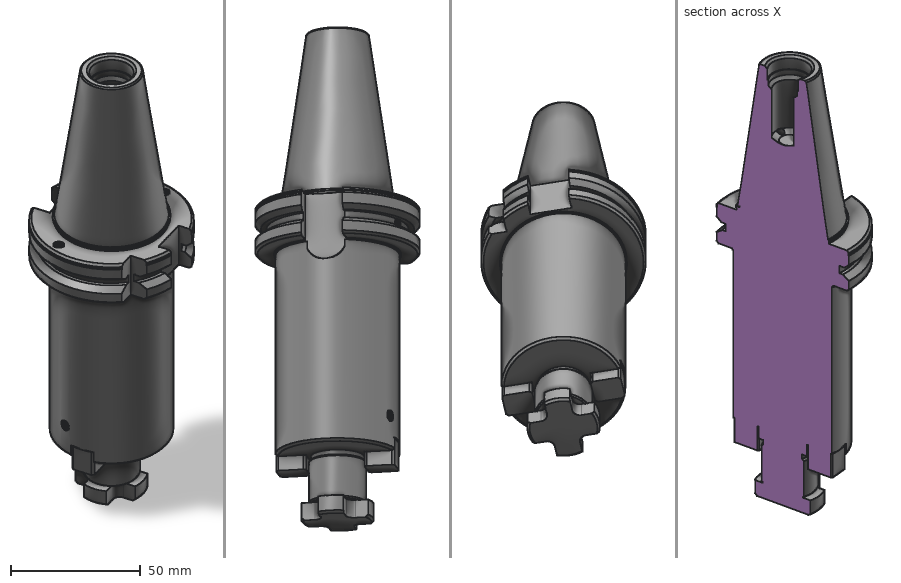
import cadquery as cq
import math

top_z = 68.5
bottom_z = -126.0
body_end_z = -100.0
spigot_end_z = -119.0

gauge_radius = 22.2
taper_foot_z = 1.0
neck_radius = 22.7
neck_height = 0.8
undercut_radius = 22.4
taper_slope = 7 / 24 / 2
taper_tip_chamfer = 0.5

flange_diameter = 63.5
flange_radius = flange_diameter / 2
flange_top_z = -0.8
flange_bottom_z = -19.0
flange_chamfer = 1.0
scribe_top_z = -2.1
scribe_height = 0.8
scribe_depth = 0.2
groove_radius = 27.5
groove_top_z = -9.1
groove_bottom_z = -12.2
upper_lip_radius = 29.5
lower_lip_radius = 29.0
flank_height = 2.0

body_radius = 24.0
body_chamfer = 1.0
collar_radius = 24.5
collar_height = 0.5

spigot_radius = 11.0
spigot_chamfer = 0.5
relief_radius = 10.3
relief_height = 1.7
head_radius = 14.0
head_chamfer = 1.0
lobe_width = 10.0
lobe_fillet = 3.0

slot_width = 16.1
left_slot_floor = 22.7
right_slot_floor = 25.0
notch_offset = 18.7
key_width = 10.0
key_recess = 0.5
key_outer = body_radius - key_recess
key_inner = 11.5
key_top_z = -94.7
key_bottom_z = -105.5
key_chamfer = 1.0

bore_mouth_radius = 9.5
bore_radius = 8.5
bore_depth = 5.8
pilot_radius = 8.2
pilot_depth = 8.2
thread_radius = 6.8
thread_depth = 31.1
bore_floor_radius = 4.0
bore_floor_rise = 1.5

coolant_angle = 20
coolant_circle_radius = 27.0
bore_coolant_circle_radius = 5.8
bore_coolant_radius = 1.4
bore_coolant_depth = 3.9
plug_hole_radius = 2.1
plug_hole_depth = 0.5
plug_rim_radius = 1.5
plug_rim_depth = 1.0
plug_socket_width = 2.0
plug_socket_depth = 1.4
body_plug_z = -86.9


def revolved(points):
    """Solid of revolution about Z from a closed outline of (radius, height) points."""
    return cq.Workplane("XZ").polyline(points).close().revolve(360, (0, 0), (0, 1))


def turned_body():
    taper_tip_radius = gauge_radius - top_z * taper_slope
    scribe_radius = flange_radius - scribe_depth
    return revolved([
        (0, top_z),
        (taper_tip_radius - taper_tip_chamfer, top_z),
        (taper_tip_radius, top_z - taper_tip_chamfer),
        (gauge_radius - taper_foot_z * taper_slope, taper_foot_z),
        (neck_radius, taper_foot_z),
        (neck_radius, taper_foot_z - neck_height),
        (undercut_radius, taper_foot_z - neck_height),
        (undercut_radius, flange_top_z),
        (flange_radius - flange_chamfer, flange_top_z),
        (flange_radius, flange_top_z - flange_chamfer),
        (flange_radius, scribe_top_z),
        (scribe_radius, scribe_top_z),
        (scribe_radius, scribe_top_z - scribe_height),
        (flange_radius, scribe_top_z - scribe_height),
        (flange_radius, groove_top_z + flank_height),
        (upper_lip_radius, groove_top_z),
        (groove_radius, groove_top_z),
        (groove_radius, groove_bottom_z),
        (lower_lip_radius, groove_bottom_z),
        (flange_radius, groove_bottom_z - flank_height),
        (flange_radius, flange_bottom_z + flange_chamfer),
        (flange_radius - flange_chamfer, flange_bottom_z),
        (collar_radius, flange_bottom_z),
        (collar_radius, flange_bottom_z - collar_height),
        (body_radius, flange_bottom_z - collar_height),
        (body_radius, body_end_z + body_chamfer),
        (body_radius - body_chamfer, body_end_z),
        (relief_radius, body_end_z),
        (relief_radius, body_end_z - relief_height),
        (spigot_radius, body_end_z - relief_height - (spigot_radius - relief_radius)),
        (spigot_radius, spigot_end_z + spigot_chamfer),
        (spigot_radius - spigot_chamfer, spigot_end_z),
        (0, spigot_end_z),
    ])


def screw_head():
    """Four-lobed head: a chamfered disc trimmed to a cross with rounded inner corners."""
    height = spigot_end_z - bottom_z
    span = 2 * head_radius
    base = cq.Workplane("XY", origin=(0, 0, bottom_z))
    disc = base.circle(head_radius).extrude(height).faces("<Z").chamfer(head_chamfer)
    cross = base.rect(span, lobe_width).extrude(height)
    cross = cross.union(base.rect(lobe_width, span).extrude(height))
    inner_corners = cq.selectors.BoxSelector(
        (-lobe_width, -lobe_width, bottom_z),
        (lobe_width, lobe_width, spigot_end_z),
    )
    cross = cross.edges("|Z").edges(inner_corners).fillet(lobe_fillet)
    return disc.intersect(cross)


def drive_slot(side, floor):
    """Slot open to the top and to one X side (side = -1 or 1), with a rounded lower end."""
    half = slot_width / 2
    profile = (
        cq.Workplane("YZ", origin=(side * floor, 0, 0))
        .moveTo(-half, taper_foot_z)
        .lineTo(-half, flange_bottom_z)
        .threePointArc((0, flange_bottom_z - half), (half, flange_bottom_z))
        .lineTo(half, taper_foot_z)
        .close()
    )
    return profile.extrude(side * flange_radius)


def orientation_notch():
    """Square corner cut through the full flange height on the +X, -Y side."""
    height = flange_top_z - flange_bottom_z
    block = cq.Workplane("XY").box(flange_radius, flange_radius, height, centered=False)
    return block.translate((notch_offset, -notch_offset - flange_radius, flange_bottom_z))


def drive_key(side):
    length = key_outer - key_inner
    return (
        cq.Workplane("XY", origin=(0, side * (key_inner + length / 2), key_bottom_z))
        .rect(key_width, length)
        .extrude(key_top_z - key_bottom_z)
        .edges("|Z")
        .chamfer(key_chamfer)
    )


def key_seat(side):
    """Pocket that clears the body outside a drive key."""
    return (
        cq.Workplane("XY", origin=(0, side * (key_inner + body_radius / 2), body_end_z))
        .rect(key_width, body_radius)
        .extrude(key_top_z - body_end_z)
    )


def taper_bore():
    return revolved([
        (0, top_z),
        (bore_mouth_radius, top_z),
        (bore_radius, top_z - (bore_mouth_radius - bore_radius)),
        (bore_radius, top_z - bore_depth),
        (pilot_radius, top_z - bore_depth),
        (pilot_radius, top_z - pilot_depth),
        (thread_radius, top_z - pilot_depth - (pilot_radius - thread_radius)),
        (thread_radius, top_z - thread_depth),
        (bore_floor_radius, top_z - thread_depth - bore_floor_rise),
        (0, top_z - thread_depth - bore_floor_rise),
    ])


def plug_recess_at(plane):
    """Stepped round recess with a hexagonal socket, sunk into the material behind a plane."""
    across_corners = plug_socket_width / math.cos(math.pi / 6)
    hole = cq.Workplane(plane).circle(plug_hole_radius).extrude(-plug_hole_depth)
    rim = cq.Workplane(plane).circle(plug_rim_radius).extrude(-plug_rim_depth)
    socket = cq.Workplane(plane).polygon(6, across_corners).extrude(-plug_socket_depth)
    return hole.union(rim).union(socket)


def radial_plug(radius, z):
    """Plug recess facing outward at the coolant angle from -Y."""
    angle = math.radians(coolant_angle)
    outward = (-math.sin(angle), -math.cos(angle), 0)
    origin = (radius * outward[0], radius * outward[1], z)
    return plug_recess_at(cq.Plane(origin=origin, xDir=(0, 0, 1), normal=outward))


def coolant_cuts(side):
    """Flange plug and bore outlet on one side of the axis (side = -1 or 1)."""
    angle = math.radians(coolant_angle)
    across = side * math.sin(angle)
    along = side * math.cos(angle)
    plug_centre = (coolant_circle_radius * across, coolant_circle_radius * along, flange_top_z)
    outlet_centre = (
        bore_coolant_circle_radius * across,
        bore_coolant_circle_radius * along,
        top_z - thread_depth,
    )
    outlet = (
        cq.Workplane("XY", origin=outlet_centre)
        .circle(bore_coolant_radius)
        .extrude(-bore_coolant_depth)
    )
    return plug_recess_at(cq.Plane(origin=plug_centre)).union(outlet)


result = turned_body().union(screw_head())
result = result.cut(drive_slot(-1, left_slot_floor))
result = result.cut(drive_slot(1, right_slot_floor))
result = result.cut(orientation_notch())
result = result.cut(taper_bore())
for side in (-1, 1):
    result = result.cut(key_seat(side)).union(drive_key(side))
    result = result.cut(coolant_cuts(side))
result = result.cut(radial_plug(groove_radius, (groove_top_z + groove_bottom_z) / 2))
result = result.cut(radial_plug(body_radius, body_plug_z))